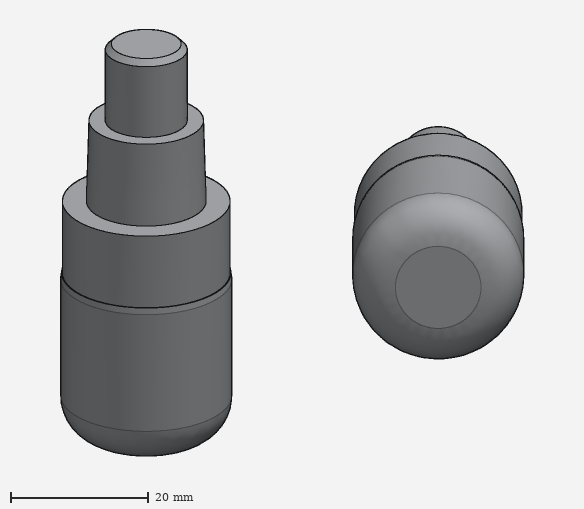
import cadquery as cq

CAP_DIAMETER = 25.0
CAP_HEIGHT = 26.0
CAP_ROUND = 6.25
RIM_DIAMETER = 24.75
RIM_HEIGHT = 1.0

BARREL_DIAMETER = 24.5
BARREL_HEIGHT = 11.5
COLLAR_BASE_DIAMETER = 17.5
COLLAR_TOP_DIAMETER = 16.75
COLLAR_HEIGHT = 13.0
PIN_DIAMETER = 12.0
PIN_LENGTH = 12.25
PIN_TIP_DIAMETER = 10.2
PIN_CHAMFER_HEIGHT = 0.9

BARREL_TOP = CAP_HEIGHT + BARREL_HEIGHT
COLLAR_TOP = BARREL_TOP + COLLAR_HEIGHT
PIN_TOP = COLLAR_TOP + PIN_LENGTH


def revolve_about_z(half_profile):
    """Turn a closed half profile (radius, height) a full turn about Z."""
    return half_profile.close().revolve(360, (0, 0, 0), (0, 1, 0))


def make_cap():
    """Solid cap with a rounded bottom edge and a slightly tapered rim."""
    half_profile = (
        cq.Workplane("XZ")
        .lineTo(CAP_DIAMETER / 2 - CAP_ROUND, 0)
        .radiusArc((CAP_DIAMETER / 2, CAP_ROUND), -CAP_ROUND)
        .lineTo(CAP_DIAMETER / 2, CAP_HEIGHT - RIM_HEIGHT)
        .lineTo(RIM_DIAMETER / 2, CAP_HEIGHT)
        .lineTo(0, CAP_HEIGHT)
    )
    return revolve_about_z(half_profile)


def make_shaft():
    """Barrel, tapered collar and chamfered pin turned as one piece."""
    half_profile = (
        cq.Workplane("XZ")
        .moveTo(0, CAP_HEIGHT)
        .lineTo(BARREL_DIAMETER / 2, CAP_HEIGHT)
        .lineTo(BARREL_DIAMETER / 2, BARREL_TOP)
        .lineTo(COLLAR_BASE_DIAMETER / 2, BARREL_TOP)
        .lineTo(COLLAR_TOP_DIAMETER / 2, COLLAR_TOP)
        .lineTo(PIN_DIAMETER / 2, COLLAR_TOP)
        .lineTo(PIN_DIAMETER / 2, PIN_TOP - PIN_CHAMFER_HEIGHT)
        .lineTo(PIN_TIP_DIAMETER / 2, PIN_TOP)
        .lineTo(0, PIN_TOP)
    )
    return revolve_about_z(half_profile)


cap = make_cap()
shaft = make_shaft()

result = cq.Compound.makeCompound([cap.val(), shaft.val()])